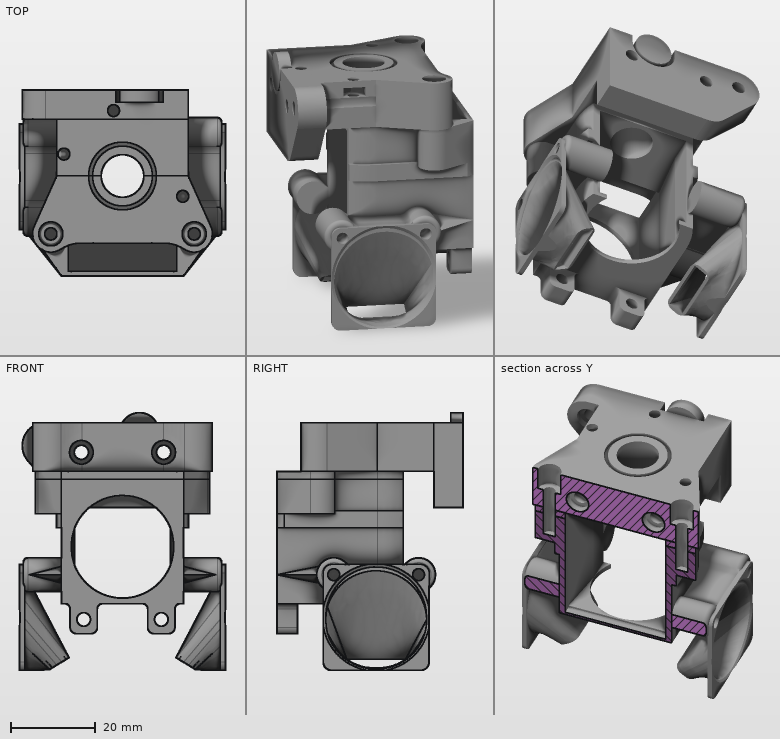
import cadquery as cq
import math


CLAMP_HEIGHT = 11.5
CLAMP_HALF_WIDTH = 15.5
REAR_HALF_DEPTH = 13.4
FRONT_FACE_Y = -15.8
BORE_RADIUS = 5.0
GROOVE_OUTER_RADIUS = 8.0
GROOVE_INNER_RADIUS = 7.05
GROOVE_DEPTH = 1.0

EAR_X = 16.9
EAR_Y = -13.65
EAR_RADIUS = 4.3
EAR_BLEND_X = 9.6
EAR_SCREW_RADIUS = 1.45
EAR_HEAD_RADIUS = 2.85
EAR_HEAD_DEPTH = 6.0

CLAMP_SCREW_X = 9.7
CLAMP_SCREW_Z = 4.5
CLAMP_SCREW_RADIUS = 1.65
CLAMP_HEAD_RADIUS = 2.8
CLAMP_HEAD_DEPTH = 4.0

SMALL_HOLE_RADIUS = 1.4
FRONT_HOLE = (14.2, -4.8)
NUT_HOLE = (-13.8, 5.15)
PLATE_HOLE = (-2.1, 15.4)
PLATE_HOLE_DEPTH = 6.0
FRONT_HOLE_DEPTH = 6.0
NUT_HOLE_DEPTH = 6.5
NUT_FLATS = 5.4
NUT_BOTTOM = 7.6
NUT_HEIGHT = 2.3

PLATE_THICKNESS = 6.9
PLATE_BACK_Y = REAR_HALF_DEPTH + PLATE_THICKNESS
PLATE_BOTTOM = -8.57
ARM_RADIUS = 5.45
ARM_END = (-18.2, CLAMP_HEIGHT - ARM_RADIUS)
ARM_HEEL = (-10.1, PLATE_BOTTOM + ARM_RADIUS)
ARM_SCREW_Z = 6.3
ARM_SCREW_RADIUS = 1.7
ARM_HEAD_RADIUS = 2.95
ARM_HEAD_DEPTH = 1.6

GEAR_RADIUS = 4.6
GEAR_THICKNESS = 2.95
GEAR_X = 4.0
GEAR_Z = 9.27
GEAR_POCKET_RADIUS = 5.55

CAP_THICKNESS = 1.8
HOUSING_HALF_WIDTH = 14.4
HOUSING_BACK_Y = 6.2
HOUSING_FRONT_Y = -23.61
HOUSING_BOTTOM = -31.2
PILLAR_RADIUS = 3.7
PILLAR_BOTTOM = -10.0
PILLAR_SCREW_DEPTH = 8.0
BAND_HALF_WIDTH = 15.6
BAND_TOP = -9.3
BAND_BOTTOM = -13.3
BAND_SHOULDER_Y = -21.9

FAN_POCKET_SIZE = 25.6
FAN_WALL = 1.15
FAN_POCKET_DEPTH = 10.8
FAN_POCKET_BOTTOM = -30.4
FAN_OPENING_RADIUS = 12.1
FAN_OPENING_Z = -17.75
FAN_POCKET_FRONT_Y = HOUSING_FRONT_Y + FAN_WALL
FAN_POCKET_BACK_Y = FAN_POCKET_FRONT_Y + FAN_POCKET_DEPTH
HEATSINK_RADIUS = 11.3
HEATSINK_FLOOR = -29.9

TAB_X = 9.15
TAB_WIDTH = 6.5
TAB_DEPTH = 4.9
TAB_BOTTOM = -38.3
TAB_HOLE_Z = -34.9
TAB_HOLE_RADIUS = 1.57
TAB_ROOT_RADIUS = 1.2
TAB_CORNER_RADIUS = 1.6

DUCT_OUTER_X = 24.29
DUCT_PLATE_SIZE = 25.0
DUCT_PLATE_THICKNESS = 1.2
DUCT_PLATE_CORNER = 2.0
DUCT_Y = -0.2
DUCT_TOP = -21.92
DUCT_Z = DUCT_TOP - DUCT_PLATE_SIZE / 2
DUCT_INNER_X = DUCT_OUTER_X - DUCT_PLATE_THICKNESS
DUCT_OPENING_RADIUS = 12.2
DUCT_MOUTH_RADIUS = 12.9
DUCT_LEAD_IN_RADIUS = 12.66
DUCT_LEAD_IN_DEPTH = 0.6
DUCT_LEDGE_RADIUS = 11.9
DUCT_WALL = 0.8
DUCT_SCREW_SPACING = 20.0
DUCT_SCREW_RADIUS = 1.4
DUCT_SCREW_DEPTH = 6.0
OUTLET_TOP = (12.6, -43.9)
OUTLET_BOTTOM = (17.2, -46.7)
OUTLET_WIDTH = 15.4
OUTLET_CORNER = 2.0
ARM_BOSS_RADIUS = 4.0
ARM_BOSS_Z = -24.35
ARM_BOSS_OUTER_X = 23.4
ARM_BOSS_INNER_X = 11.6
ARM_BOSS_FILLET = 1.1
WEB_TOP = -22.2
WEB_THICKNESS = 2.0
WEB_BLEND_RADIUS = 2.4
RIB_HALF_HEIGHT = 2.2
RIB_ROOT_Y = -12.6
RIB_OUTER_END = (22.6, -13.4)


def box(x0, x1, y0, y1, z0, z1):
    """Axis-aligned block between two corners."""
    return cq.Workplane("XY").box(x1 - x0, y1 - y0, z1 - z0, centered=False).translate((x0, y0, z0))


def rod_x(radius, y, z, x0, x1):
    """Cylinder along X."""
    return cq.Workplane("YZ").center(y, z).circle(radius).extrude(x1 - x0).translate((x0, 0, 0))


def rod_y(radius, x, z, y0, y1):
    """Cylinder along Y."""
    return cq.Workplane("XZ").center(x, z).circle(radius).extrude(y0 - y1).translate((0, y0, 0))


def rod_z(radius, x, y, z0, z1):
    """Cylinder along Z."""
    return cq.Workplane("XY").center(x, y).circle(radius).extrude(z1 - z0).translate((0, 0, z0))


def mirrored_x(shape):
    """Copy of a shape on the other side of the symmetry plane."""
    return shape.mirror("YZ")


def on_circle(center, radius, angle):
    """Point on a circle at an angle from the first axis."""
    return (center[0] + radius * math.cos(angle), center[1] + radius * math.sin(angle))


def ear_outline():
    """Front clamp outline: tapered sides, round ears and a blended recess between the ears."""
    ear = (EAR_X, EAR_Y)
    side_dx = EAR_X - CLAMP_HALF_WIDTH
    to_corner = math.atan2(-EAR_Y, -side_dx)
    side_angle = to_corner - math.acos(EAR_RADIUS / math.hypot(side_dx, EAR_Y))
    blend_dx = EAR_X - EAR_BLEND_X
    ear_rise = EAR_Y - FRONT_FACE_Y
    blend_radius = (blend_dx**2 + ear_rise**2 - EAR_RADIUS**2) / (2 * (EAR_RADIUS - ear_rise))
    blend = (EAR_BLEND_X, FRONT_FACE_Y - blend_radius)
    blend_angle = math.atan2(EAR_Y - blend[1], blend_dx)
    ear_end_angle = blend_angle - math.pi
    side_point = on_circle(ear, EAR_RADIUS, side_angle)
    ear_middle = on_circle(ear, EAR_RADIUS, (side_angle + ear_end_angle) / 2)
    ear_end = on_circle(ear, EAR_RADIUS, ear_end_angle)
    blend_middle = on_circle(blend, blend_radius, (blend_angle + math.pi / 2) / 2)
    return (
        cq.Workplane("XY")
        .moveTo(0, 0)
        .lineTo(CLAMP_HALF_WIDTH, 0)
        .lineTo(*side_point)
        .threePointArc(ear_middle, ear_end)
        .threePointArc(blend_middle, (EAR_BLEND_X, FRONT_FACE_Y))
        .lineTo(0, FRONT_FACE_Y)
        .close()
    )


def clamp_bore():
    """Vertical bore with the ring groove around its upper end."""
    groove_floor = CLAMP_HEIGHT - GROOVE_DEPTH
    groove = rod_z(GROOVE_OUTER_RADIUS, 0, 0, groove_floor, CLAMP_HEIGHT).cut(
        rod_z(GROOVE_INNER_RADIUS, 0, 0, groove_floor, CLAMP_HEIGHT)
    )
    return rod_z(BORE_RADIUS, 0, 0, 0, CLAMP_HEIGHT).union(groove)


def cut_clamp_screws(body):
    """Two long screw holes along Y with head recesses at the front."""
    head_end_y = FRONT_FACE_Y + CLAMP_HEAD_DEPTH
    ear_front_y = EAR_Y - EAR_RADIUS
    for side in (-1, 1):
        x = side * CLAMP_SCREW_X
        body = body.cut(rod_y(CLAMP_SCREW_RADIUS, x, CLAMP_SCREW_Z, ear_front_y, PLATE_BACK_Y))
        body = body.cut(rod_y(CLAMP_HEAD_RADIUS, x, CLAMP_SCREW_Z, ear_front_y, head_end_y))
    return body


def make_front_clamp():
    half = ear_outline().extrude(CLAMP_HEIGHT)
    body = half.union(mirrored_x(half)).cut(clamp_bore())
    body = cut_clamp_screws(body)
    for side in (-1, 1):
        x = side * EAR_X
        body = body.cut(rod_z(EAR_SCREW_RADIUS, x, EAR_Y, 0, CLAMP_HEIGHT))
        body = body.cut(rod_z(EAR_HEAD_RADIUS, x, EAR_Y, CLAMP_HEIGHT - EAR_HEAD_DEPTH, CLAMP_HEIGHT))
    return body.cut(
        rod_z(SMALL_HOLE_RADIUS, *FRONT_HOLE, CLAMP_HEIGHT - FRONT_HOLE_DEPTH, CLAMP_HEIGHT)
    )


def nut_slot():
    """Hexagonal nut pocket open to the -X side."""
    x, y = NUT_HOLE
    nut_corners = NUT_FLATS / math.cos(math.pi / 6)
    nut = cq.Workplane("XY").center(x, y).polygon(6, nut_corners).extrude(NUT_HEIGHT)
    nut = nut.translate((0, 0, NUT_BOTTOM))
    nut_top = NUT_BOTTOM + NUT_HEIGHT
    return nut.union(
        box(-CLAMP_HALF_WIDTH, x, y - NUT_FLATS / 2, y + NUT_FLATS / 2, NUT_BOTTOM, nut_top)
    )


def make_rear_clamp():
    body = box(-CLAMP_HALF_WIDTH, CLAMP_HALF_WIDTH, 0, REAR_HALF_DEPTH, 0, CLAMP_HEIGHT)
    body = cut_clamp_screws(body.cut(clamp_bore()))
    body = body.cut(rod_z(SMALL_HOLE_RADIUS, *NUT_HOLE, CLAMP_HEIGHT - NUT_HOLE_DEPTH, CLAMP_HEIGHT))
    body = body.cut(nut_slot())
    return body.cut(rod_y(ARM_HEAD_RADIUS, ARM_END[0], ARM_SCREW_Z, 0, REAR_HALF_DEPTH))


def make_motor_plate():
    slope = math.atan2(ARM_HEEL[1] - ARM_END[1], ARM_HEEL[0] - ARM_END[0])
    slope_normal = slope - math.pi / 2
    heel_middle = on_circle(ARM_HEEL, ARM_RADIUS, (slope_normal - math.pi / 2) / 2)
    body = (
        cq.Workplane("XZ")
        .moveTo(CLAMP_HALF_WIDTH, CLAMP_HEIGHT)
        .lineTo(ARM_END[0], CLAMP_HEIGHT)
        .threePointArc(
            on_circle(ARM_END, ARM_RADIUS, math.pi), on_circle(ARM_END, ARM_RADIUS, slope_normal)
        )
        .lineTo(*on_circle(ARM_HEEL, ARM_RADIUS, slope_normal))
        .threePointArc(heel_middle, (ARM_HEEL[0], PLATE_BOTTOM))
        .lineTo(CLAMP_HALF_WIDTH, PLATE_BOTTOM)
        .close()
        .extrude(-PLATE_THICKNESS)
        .translate((0, REAR_HALF_DEPTH, 0))
    )
    body = cut_clamp_screws(body)
    head_end_y = REAR_HALF_DEPTH + ARM_HEAD_DEPTH
    body = body.cut(rod_y(ARM_SCREW_RADIUS, ARM_END[0], ARM_SCREW_Z, REAR_HALF_DEPTH, PLATE_BACK_Y))
    body = body.cut(rod_y(ARM_HEAD_RADIUS, ARM_END[0], ARM_SCREW_Z, REAR_HALF_DEPTH, head_end_y))
    body = body.cut(
        rod_z(SMALL_HOLE_RADIUS, *PLATE_HOLE, CLAMP_HEIGHT - PLATE_HOLE_DEPTH, CLAMP_HEIGHT)
    )
    pocket_y = PLATE_BACK_Y - GEAR_THICKNESS
    body = body.cut(rod_y(GEAR_POCKET_RADIUS, GEAR_X, GEAR_Z, pocket_y, PLATE_BACK_Y))
    return body.cut(
        box(GEAR_X - GEAR_POCKET_RADIUS, GEAR_X + GEAR_POCKET_RADIUS,
            pocket_y, PLATE_BACK_Y, GEAR_Z, CLAMP_HEIGHT)
    )


def make_gear():
    return rod_y(GEAR_RADIUS, GEAR_X, GEAR_Z, PLATE_BACK_Y - GEAR_THICKNESS, PLATE_BACK_Y)


def barrel(half_width, z0, z1):
    """U-shaped column: round at the bore axis, flat at the back, tapering to the front corners."""
    corners = [(half_width, 0), (half_width, BAND_SHOULDER_Y), (HOUSING_HALF_WIDTH, HOUSING_FRONT_Y)]
    corners += [(-x, y) for x, y in reversed(corners)]
    straight = cq.Workplane("XY").polyline(corners).close().extrude(z1 - z0).translate((0, 0, z0))
    back = box(-half_width, half_width, -half_width, HOUSING_BACK_Y, z0, z1)
    return rod_z(half_width, 0, 0, z0, z1).intersect(back).union(straight)


def eared_column(z0, z1):
    """Barrel widened by a round screw pillar on each side, with sloped faces to the front corners."""
    slope_dx = EAR_X - HOUSING_HALF_WIDTH
    slope_dy = EAR_Y - HOUSING_FRONT_Y
    to_corner = math.atan2(-slope_dy, -slope_dx)
    tangent_angle = to_corner + math.acos(PILLAR_RADIUS / math.hypot(slope_dx, slope_dy))
    column = barrel(HOUSING_HALF_WIDTH, z0, z1)
    ear = (
        cq.Workplane("XY")
        .moveTo(0, HOUSING_FRONT_Y)
        .lineTo(HOUSING_HALF_WIDTH, HOUSING_FRONT_Y)
        .lineTo(*on_circle((EAR_X, EAR_Y), PILLAR_RADIUS, tangent_angle))
        .threePointArc((EAR_X + PILLAR_RADIUS, EAR_Y), (EAR_X, EAR_Y + PILLAR_RADIUS))
        .lineTo(0, EAR_Y + PILLAR_RADIUS)
        .close()
        .extrude(z1 - z0)
        .translate((0, 0, z0))
    )
    return column.union(ear).union(mirrored_x(ear))


def fan_pocket():
    """Square slot for the fan, open at the top."""
    half = FAN_POCKET_SIZE / 2
    return box(-half, half, FAN_POCKET_FRONT_Y, FAN_POCKET_BACK_Y, FAN_POCKET_BOTTOM, 0)


def cut_ear_screws(body):
    for side in (-1, 1):
        body = body.cut(rod_z(EAR_SCREW_RADIUS, side * EAR_X, EAR_Y, -PILLAR_SCREW_DEPTH, 0))
    return body


def make_cap():
    body = eared_column(-CAP_THICKNESS, 0).cut(fan_pocket())
    return cut_ear_screws(body.cut(rod_z(BORE_RADIUS, 0, 0, -CAP_THICKNESS, 0)))


def mounting_tab():
    """Foot with a screw hole, rounded lower corners and filleted roots."""
    y1 = HOUSING_FRONT_Y + TAB_DEPTH
    x0 = TAB_X - TAB_WIDTH / 2
    x1 = TAB_X + TAB_WIDTH / 2
    tab = box(x0, x1, HOUSING_FRONT_Y, y1, TAB_BOTTOM, HOUSING_BOTTOM)
    tab = tab.edges("|Y and <Z").fillet(TAB_CORNER_RADIUS)
    root_z = HOUSING_BOTTOM - TAB_ROOT_RADIUS
    for edge_x, side in ((x0, -1), (x1, 1)):
        center_x = edge_x + side * TAB_ROOT_RADIUS
        root = box(min(edge_x, center_x), max(edge_x, center_x), HOUSING_FRONT_Y, y1, root_z, HOUSING_BOTTOM)
        root = root.cut(rod_y(TAB_ROOT_RADIUS, center_x, root_z, HOUSING_FRONT_Y, y1))
        tab = tab.union(root)
    return tab.cut(rod_y(TAB_HOLE_RADIUS, TAB_X, TAB_HOLE_Z, HOUSING_FRONT_Y, y1))


def housing_envelope():
    """Outside of the housing without the pillars."""
    body = barrel(HOUSING_HALF_WIDTH, HOUSING_BOTTOM, -CAP_THICKNESS)
    return body.union(barrel(BAND_HALF_WIDTH, BAND_BOTTOM, BAND_TOP))


def make_housing():
    body = housing_envelope().union(eared_column(PILLAR_BOTTOM, -CAP_THICKNESS))
    body = body.cut(fan_pocket())
    body = body.cut(
        rod_y(FAN_OPENING_RADIUS, 0, FAN_OPENING_Z, HOUSING_FRONT_Y, FAN_POCKET_FRONT_Y)
    )
    passage = [
        (FAN_POCKET_SIZE / 2, FAN_POCKET_BACK_Y),
        (HEATSINK_RADIUS, 0),
        (HEATSINK_RADIUS, HOUSING_BACK_Y),
    ]
    passage += [(-x, y) for x, y in reversed(passage)]
    passage_height = -CAP_THICKNESS - HEATSINK_FLOOR
    body = body.cut(
        cq.Workplane("XY", origin=(0, 0, HEATSINK_FLOOR)).polyline(passage).close().extrude(passage_height)
    )
    body = body.cut(rod_z(HEATSINK_RADIUS, 0, 0, HOUSING_BOTTOM, HEATSINK_FLOOR))
    tab = mounting_tab()
    return cut_ear_screws(body.union(tab).union(mirrored_x(tab)))


def nozzle(mouth_radius, outlet_inset, corner_radius):
    """Funnel from the round fan mouth to the slanted rectangular outlet."""
    run_x = OUTLET_TOP[0] - OUTLET_BOTTOM[0]
    run_z = OUTLET_TOP[1] - OUTLET_BOTTOM[1]
    outlet_height = math.hypot(run_x, run_z)
    outlet_plane = cq.Plane(
        origin=((OUTLET_TOP[0] + OUTLET_BOTTOM[0]) / 2, DUCT_Y, (OUTLET_TOP[1] + OUTLET_BOTTOM[1]) / 2),
        xDir=(0, 1, 0),
        normal=(-run_z, 0, run_x),
    )
    mouth = cq.Workplane("YZ", origin=(DUCT_OUTER_X, DUCT_Y, DUCT_Z)).circle(mouth_radius).val()
    outlet = cq.Sketch().rect(OUTLET_WIDTH - 2 * outlet_inset, outlet_height - 2 * outlet_inset)
    if corner_radius > 0:
        outlet = outlet.vertices().fillet(corner_radius)
    outlet = outlet.reset().faces().val().outerWire().moved(outlet_plane.location)
    return cq.Workplane(cq.Solid.makeLoft([mouth, outlet], True))


def support_rib():
    """Pyramid brace on the housing side, pointing to the outer end of the front boss."""
    front = (HOUSING_HALF_WIDTH, HOUSING_FRONT_Y, ARM_BOSS_Z)
    upper = (HOUSING_HALF_WIDTH, RIB_ROOT_Y, ARM_BOSS_Z + RIB_HALF_HEIGHT)
    lower = (HOUSING_HALF_WIDTH, RIB_ROOT_Y, ARM_BOSS_Z - RIB_HALF_HEIGHT)
    tip = (*RIB_OUTER_END, ARM_BOSS_Z)
    faces = []
    for corners in ((front, upper, lower), (front, upper, tip), (upper, lower, tip), (lower, front, tip)):
        outline = cq.Wire.makePolygon([cq.Vector(*corner) for corner in corners], close=True)
        faces.append(cq.Face.makeFromWires(outline))
    return cq.Workplane(cq.Solid.makeSolid(cq.Shell.makeShell(faces)))


def arm_bosses():
    """Two screw bosses joined by a web that blends into them at the top."""
    screw_half = DUCT_SCREW_SPACING / 2
    arm = box(ARM_BOSS_INNER_X, DUCT_INNER_X, DUCT_Y - screw_half, DUCT_Y + screw_half,
              WEB_TOP - WEB_THICKNESS, WEB_TOP)
    web_rise = WEB_TOP - ARM_BOSS_Z
    blend_rise = web_rise + WEB_BLEND_RADIUS
    blend_offset = math.sqrt((ARM_BOSS_RADIUS + WEB_BLEND_RADIUS) ** 2 - blend_rise**2)
    for side in (-1, 1):
        boss_y = DUCT_Y + side * screw_half
        blend_y = boss_y - side * blend_offset
        boss = rod_x(ARM_BOSS_RADIUS, boss_y, ARM_BOSS_Z, ARM_BOSS_INNER_X, ARM_BOSS_OUTER_X)
        boss = boss.faces(">X").edges().fillet(ARM_BOSS_FILLET)
        contact = WEB_BLEND_RADIUS / (ARM_BOSS_RADIUS + WEB_BLEND_RADIUS)
        contact_y = blend_y + (boss_y - blend_y) * contact
        contact_z = ARM_BOSS_Z + blend_rise * (1 - contact)
        blend = box(ARM_BOSS_INNER_X, DUCT_INNER_X, min(blend_y, contact_y), max(blend_y, contact_y),
                    ARM_BOSS_Z, contact_z)
        blend = blend.cut(
            rod_x(WEB_BLEND_RADIUS, blend_y, WEB_TOP + WEB_BLEND_RADIUS, ARM_BOSS_INNER_X, DUCT_INNER_X)
        )
        arm = arm.union(blend).union(boss)
    return arm


def make_duct():
    half = DUCT_PLATE_SIZE / 2
    screw_half = DUCT_SCREW_SPACING / 2
    frame = box(0, DUCT_OUTER_X, DUCT_Y - half, DUCT_Y + half, DUCT_Z - half, DUCT_Z + half)
    frame = frame.edges("|X").fillet(DUCT_PLATE_CORNER)
    plate = frame.intersect(frame.translate((DUCT_INNER_X, 0, 0)))
    body = plate.union(nozzle(DUCT_MOUTH_RADIUS, 0, OUTLET_CORNER).intersect(frame))
    body = body.union(arm_bosses()).union(support_rib())
    body = body.cut(nozzle(DUCT_OPENING_RADIUS, DUCT_WALL, 0))
    lead_in = (
        cq.Workplane("YZ", origin=(DUCT_OUTER_X - DUCT_LEAD_IN_DEPTH, DUCT_Y, DUCT_Z))
        .circle(DUCT_LEDGE_RADIUS)
        .workplane(offset=DUCT_LEAD_IN_DEPTH)
        .circle(DUCT_LEAD_IN_RADIUS)
        .loft()
    )
    body = body.cut(lead_in)
    for side in (-1, 1):
        body = body.cut(
            rod_x(DUCT_SCREW_RADIUS, DUCT_Y + side * screw_half, ARM_BOSS_Z,
                  DUCT_OUTER_X - DUCT_SCREW_DEPTH, DUCT_OUTER_X)
        )
    return body.cut(housing_envelope())


front_clamp = make_front_clamp()
rear_clamp = make_rear_clamp()
motor_plate = make_motor_plate()
gear = make_gear()
cap = make_cap()
housing = make_housing()
right_duct = make_duct()
left_duct = mirrored_x(right_duct)

result = cq.Compound.makeCompound([
    front_clamp.val(),
    rear_clamp.val(),
    motor_plate.val(),
    gear.val(),
    cap.val(),
    housing.val(),
    right_duct.val(),
    left_duct.val(),
])